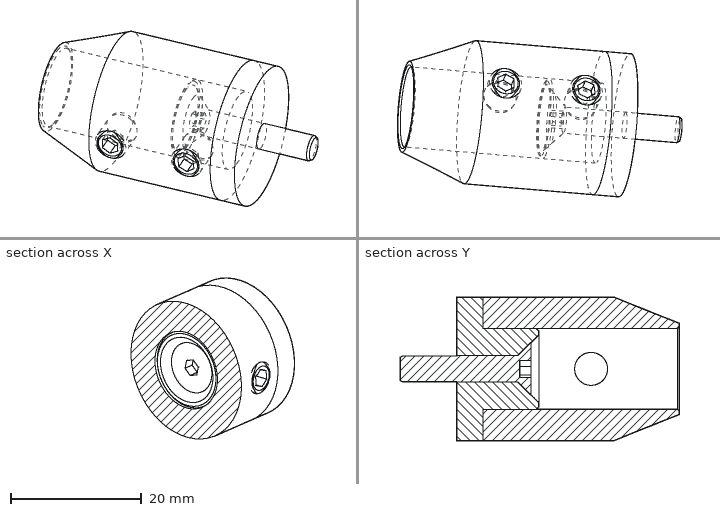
import cadquery as cq

total_length = 42.65
outer_radius = 11.0

nose_radius = 7.0
nose_length = 9.98
housing_length = 30.0
bore_radius = 6.15
bore_chamfer = 0.3

flange_thickness = 4.0
plug_front = 21.45
plug_chamfer = 0.35
countersink_radius = 5.2

head_radius = 4.0
shank_radius = 2.0
shank_tip_length = 0.4
shank_tip_inset = 0.2
head_front = plug_front + countersink_radius - head_radius
head_rear = head_front + head_radius - shank_radius
head_socket_depth = 1.7
head_socket_flats = 2.4
head_socket_turn = 13.0

set_screw_radius = 2.5
set_screw_face_radius = 1.9
set_screw_chamfer_depth = 0.275
set_screw_hole_radius = 2.15
set_screw_socket_flats = 2.5
set_screw_socket_depth = 2.15
set_screw_placements = [(13.45, 0.0), (26.0, 7.0)]

chamfer_slope = set_screw_chamfer_depth / (set_screw_radius - set_screw_face_radius)
mouth_depth = (set_screw_hole_radius - set_screw_face_radius) * chamfer_slope


def revolve_about_x(points):
    """Revolve a closed (x, radius) outline about the X axis."""
    return cq.Workplane("XY").polyline(points).close().revolve(360, (0, 0, 0), (1, 0, 0))


def revolve_about_y(points):
    """Revolve a closed (radius, y) outline about the Y axis."""
    return cq.Workplane("XY").polyline(points).close().revolve(360, (0, 0, 0), (0, 1, 0))


def hex_socket(plane, flats, turn, depth):
    """Hexagonal prism from the plane origin along its normal, one corner on local Y when turn is 0."""
    return (
        cq.Workplane(plane)
        .transformed(rotate=(0, 0, turn))
        .polygon(6, flats, circumscribed=True)
        .extrude(depth)
    )


def make_set_screw(x, turn):
    """Set screw with a chamfered outer face tangent to the housing and its inner end at the bore."""
    face_y = -outer_radius
    outline = [
        (0, face_y),
        (set_screw_face_radius, face_y),
        (set_screw_radius, face_y + set_screw_chamfer_depth),
        (set_screw_radius, -bore_radius),
        (0, -bore_radius),
    ]
    body = revolve_about_y(outline)
    face_plane = cq.Plane(origin=(0, face_y, 0), xDir=(-1, 0, 0), normal=(0, 1, 0))
    socket = hex_socket(face_plane, set_screw_socket_flats, -turn, set_screw_socket_depth)
    return body.cut(socket).translate((x, 0, 0))


def set_screw_hole(x):
    """Stepped hole for a set screw: narrow mouth at the surface, full diameter below the chamfer."""
    face_y = -outer_radius
    outline = [
        (0, face_y),
        (set_screw_hole_radius, face_y),
        (set_screw_hole_radius, face_y + mouth_depth),
        (set_screw_radius, face_y + set_screw_chamfer_depth),
        (set_screw_radius, 0),
        (0, 0),
    ]
    return revolve_about_y(outline).translate((x, 0, 0))


def make_housing():
    housing = revolve_about_x([
        (0, bore_radius + bore_chamfer),
        (0, nose_radius),
        (nose_length, outer_radius),
        (housing_length, outer_radius),
        (housing_length, bore_radius),
        (bore_chamfer, bore_radius),
    ])
    for x, _ in set_screw_placements:
        housing = housing.cut(set_screw_hole(x))
    return housing


def make_plug():
    flange_rear = housing_length + flange_thickness
    return revolve_about_x([
        (plug_front, countersink_radius),
        (plug_front, bore_radius - plug_chamfer),
        (plug_front + plug_chamfer, bore_radius),
        (housing_length, bore_radius),
        (housing_length, outer_radius),
        (flange_rear, outer_radius),
        (flange_rear, shank_radius),
        (head_rear, shank_radius),
    ])


def make_center_screw():
    body = revolve_about_x([
        (head_front, 0),
        (head_front, head_radius),
        (head_rear, shank_radius),
        (total_length - shank_tip_length, shank_radius),
        (total_length, shank_radius - shank_tip_inset),
        (total_length, 0),
    ])
    head_plane = cq.Plane(origin=(head_front, 0, 0), xDir=(0, 1, 0), normal=(1, 0, 0))
    return body.cut(hex_socket(head_plane, head_socket_flats, head_socket_turn, head_socket_depth))


housing = make_housing()
plug = make_plug()
center_screw = make_center_screw()
set_screws = [make_set_screw(x, turn) for x, turn in set_screw_placements]

result = cq.Compound.makeCompound([
    housing.val(),
    plug.val(),
    center_screw.val(),
    *[screw.val() for screw in set_screws],
])